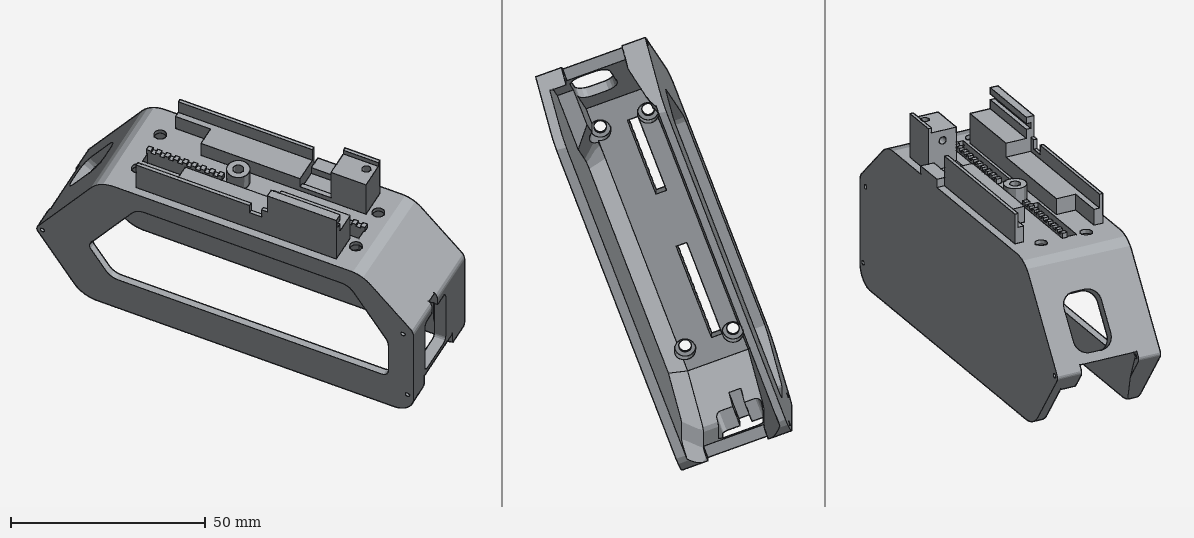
import cadquery as cq
import math


LENGTH = 107.5
WIDTH = 30.0
ROOF_Z = 45.2
NOSE_Z = 19.1
NOSE_RADIUS = 1.6
CORNER_RADIUS = 8.0
TAIL_TOP_RADIUS = 3.2
TAIL_BOTTOM_RADIUS = 5.6
SLANT_ANGLE = math.radians(55)
SLANT = math.tan(SLANT_ANGLE)
NOSE_X = NOSE_RADIUS * (1 - 1 / math.sin(SLANT_ANGLE))
TAIL_CHAMFER = 14.7

CAVITY_FRONT_Y = -8.6
CAVITY_BACK_Y = 8.0
POCKET_FRONT_Y = -13.0
POCKET_BACK_Y = 12.4
CAVITY_TOP_Z = 40.8
POCKET_LEFT_X = 28.0
POCKET_RADIUS = 8.6
TAIL_WALL_X = 104.2
TAIL_WALL_BOTTOM_Z = 8.1
TAIL_SLANT_Z = 24.2
TAIL_INNER_KNEE = (TAIL_WALL_X, TAIL_SLANT_Z)
TAIL_INNER_TOP = (TAIL_WALL_X - (CAVITY_TOP_Z - TAIL_SLANT_Z) / SLANT, CAVITY_TOP_Z)
TAIL_INNER_RADIUS = 9.1
NOSE_WALL = 2.7
NOSE_WALL_BOTTOM_Z = 21.0
NOSE_BOSS_X = 3.3
NOSE_POCKET_TOP_Z = 27.5
FRONT_RIB_TOP_X = 1.8
FRONT_RIB_SLOPE = math.tan(math.radians(69))
POCKET_TAPER = 45
MARGIN = 21.5
PICK_SIZE = 0.1

PIN_DIAMETER = 1.2
NOSE_PIN = (1.6, 19.2)
UPPER_TAIL_PIN = (104.4, 28.6)
LOWER_TAIL_PIN = (105.7, 6.3)
LOWER_TAIL_BOSS = (106.3, 6.5)
BOSS_TOP_RADIUS = LOWER_TAIL_BOSS[0] - TAIL_WALL_X

WINDOW_NOSE = (14.6, 19.8)
WINDOW_BOTTOM_Z = 10.6
WINDOW_TOP_Z = 39.5
WINDOW_RIGHT_X = 100.3
WINDOW_SLANT_Z = 23.5
WINDOW_RADIUS = 4.3
WINDOW_SMALL_RADIUS = 2.0
NOSE_OPENING_FRONT_Y = -2.9
NOSE_OPENING_WIDTH = CAVITY_BACK_Y - NOSE_OPENING_FRONT_Y
NOSE_OPENING_LENGTH = 16.2
NOSE_OPENING_Z = 29.7
NOSE_OPENING_RADIUS = 3.8
TAIL_OPENING_Y = (-8.3, 3.9)
TAIL_OPENING_Z = (9.5, 27.4)
TAIL_OPENING_RADIUS = 1.5
TAIL_NOTCH_Y = (-4.1, -0.9)
TAIL_NOTCH_TOP_Z = 31.4
TAIL_CUT_START_X = 96.7

SCREW_DIAMETER = 3.2
COUNTERBORE_DIAMETER = 5.5
COUNTERBORE_TOP_Z = 44.1
SCREW_X = (24.7, 86.9)
SCREW_Y = 6.6
SLOTS_X = ((24.7, 45.7), (60.5, 86.4))
SLOT_Y = (-3.8, -0.9)
COMB_Y = (-0.9, 0.5)
COMB_BASE_HEIGHT = 0.6
TOOTH_HEIGHT = 1.4
COMBS = ((24.4, 46.0, 9), (60.1, 86.7, 11))
POST_CENTER = (49.9, 0.6)
POST_DIAMETER = 6.0
POST_HOLE_DIAMETER = 2.8
POST_TOP_Z = 49.9

RAIL_START_X = 27.3
SHELF_START_X = 37.3
RAIL_END_X = 84.3
SHELF_Z = 49.7
RAIL_Z = 53.7
LEDGE_Y = 10.2
RAIL_OUTER_Y = 12.8
RAIL_INNER_Y = 11.8
SHELF_INNER_Y = 4.6
CHANNEL_X = (65.5, 74.4)
CHANNEL_Z = 47.6
TROUGH_Y = (5.9, 11.2)
TROUGH_Z = 45.5
CHANNEL_LIP_Z = 46.7
BLOCK_Z = 56.3
BLOCK_LIP_Z = 57.7
BLOCK_TOP_HOLE = (82.0, 9.7)
BLOCK_TOP_HOLE_DIAMETER = 2.3
BLOCK_SIDE_HOLE = (8.6, 53.4)
BLOCK_SIDE_HOLE_DIAMETER = 2.0
BLOCK_HOLE_DEPTH = 4.3
TALL_WALL_X = 64.7
TALL_WALL_INNER_Y = 10.5
TALL_WALL_Z = 59.7
GROOVE_Z = (56.3, 57.9)
GROOVE_DEPTH = 1.3
NOTCH_X = (59.6, 63.1)
NOTCH_Z = 51.0


def box(x_range, y_range, z_range):
    """Box between the given limits."""
    size = [high - low for low, high in (x_range, y_range, z_range)]
    corner = (x_range[0], y_range[0], z_range[0])
    return cq.Workplane("XY").box(*size, centered=False).translate(corner)


def prism(points, y_start, y_end):
    """Outline in the XZ plane, extruded from y_start to y_end."""
    plane = cq.Workplane("XZ", origin=(0, y_start, 0))
    return plane.polyline(points).close().extrude(y_start - y_end)


def round_corners(solid, radii):
    """Fillet the Y-parallel edges through the given (x, z) points: {point: radius}."""
    for (x, z), radius in radii.items():
        low = (x - PICK_SIZE, -WIDTH, z - PICK_SIZE)
        high = (x + PICK_SIZE, WIDTH, z + PICK_SIZE)
        edge = cq.selectors.BoxSelector(low, high)
        solid = solid.edges("|Y").edges(edge).fillet(radius)
    return solid


def slant_x(z, offset=0.0):
    """X of the upper nose slant at height z, moved inwards by offset."""
    return NOSE_X + (z - NOSE_Z) / SLANT + offset / math.sin(SLANT_ANGLE)


def shell_block():
    """Solid outline of the whole housing."""
    nose = (NOSE_X, NOSE_Z)
    top_left = (slant_x(ROOF_Z), ROOF_Z)
    top_right = (LENGTH - TAIL_CHAMFER, ROOF_Z)
    tail_top = (LENGTH, ROOF_Z - TAIL_CHAMFER)
    tail_bottom = (LENGTH, 0)
    bottom_left = (NOSE_X + NOSE_Z / SLANT, 0)
    outline = [nose, top_left, top_right, tail_top, tail_bottom, bottom_left]
    radii = {
        nose: NOSE_RADIUS,
        top_left: CORNER_RADIUS,
        top_right: CORNER_RADIUS,
        tail_top: TAIL_TOP_RADIUS,
        tail_bottom: TAIL_BOTTOM_RADIUS,
        bottom_left: CORNER_RADIUS,
    }
    return round_corners(prism(outline, -WIDTH / 2, WIDTH / 2), radii)


def cavity():
    """Central space between the side plates, open below and under the tail and nose walls."""
    outline = [
        (-MARGIN, -MARGIN),
        (-MARGIN, NOSE_WALL_BOTTOM_Z),
        (slant_x(NOSE_WALL_BOTTOM_Z, NOSE_WALL), NOSE_WALL_BOTTOM_Z),
        (slant_x(CAVITY_TOP_Z, NOSE_WALL), CAVITY_TOP_Z),
        TAIL_INNER_TOP,
        TAIL_INNER_KNEE,
        (TAIL_WALL_X, TAIL_WALL_BOTTOM_Z),
        (LENGTH + MARGIN, TAIL_WALL_BOTTOM_Z),
        (LENGTH + MARGIN, -MARGIN),
    ]
    space = prism(outline, CAVITY_FRONT_Y, CAVITY_BACK_Y)
    return round_corners(space, {TAIL_INNER_KNEE: TAIL_INNER_RADIUS})


def tapered_pocket(left_points, y_start, y_end):
    """Pocket with 45 degree walls that narrows from y_start to y_end, clear of the lower tail boss."""
    top_left = (POCKET_LEFT_X, CAVITY_TOP_Z)
    tail_bottom = (TAIL_WALL_X, -MARGIN)
    outline = left_points + [top_left, TAIL_INNER_TOP, TAIL_INNER_KNEE, tail_bottom]
    depth = abs(y_end - y_start)
    direction = math.copysign(1, y_end - y_start)
    radii = {top_left: POCKET_RADIUS, TAIL_INNER_KNEE: TAIL_INNER_RADIUS}
    profile = round_corners(prism(outline, y_start, y_end), radii)
    face = profile.faces("<Y" if direction > 0 else ">Y").wires().val()
    plane = cq.Plane(origin=(0, y_start, 0), xDir=(1, 0, 0), normal=(0, direction, 0))
    pocket = cq.Workplane(plane).add(face).toPending().extrude(depth, taper=POCKET_TAPER)

    boss_x, boss_z = LOWER_TAIL_BOSS
    base_radius = BOSS_TOP_RADIUS + depth
    low, high = sorted((y_start, y_end))
    runout = box((boss_x - base_radius, LENGTH + MARGIN), (low, high), (-MARGIN, boss_z))
    top_center = cq.Vector(boss_x, y_start, boss_z)
    axis = cq.Vector(0, direction, 0)
    cone = cq.Solid.makeCone(BOSS_TOP_RADIUS, base_radius, depth, top_center, axis)
    return pocket.union(runout.cut(cq.Workplane(cone)))


def back_pocket():
    """Tapered pocket in the back plate with a straight extension behind the nose wall."""
    slant_bottom_x = POCKET_LEFT_X - (CAVITY_TOP_Z + MARGIN) / SLANT
    main = tapered_pocket([(slant_bottom_x, -MARGIN)], CAVITY_BACK_Y, POCKET_BACK_Y)
    above_floor = box((-MARGIN, LENGTH), (0, WIDTH), (NOSE_POCKET_TOP_Z, ROOF_Z))
    tail_part = box((POCKET_LEFT_X, LENGTH + MARGIN), (0, WIDTH), (-MARGIN, ROOF_Z))
    main = main.intersect(above_floor.union(tail_part))
    boss_z = NOSE_Z + (NOSE_BOSS_X - slant_x(NOSE_Z, NOSE_WALL)) * SLANT
    extension = [
        (NOSE_BOSS_X, -MARGIN),
        (NOSE_BOSS_X, boss_z),
        (slant_x(NOSE_POCKET_TOP_Z, NOSE_WALL), NOSE_POCKET_TOP_Z),
        (POCKET_LEFT_X, NOSE_POCKET_TOP_Z),
        (POCKET_LEFT_X, -MARGIN),
    ]
    return main.union(prism(extension, CAVITY_BACK_Y, POCKET_BACK_Y))


def front_pocket():
    """Tapered pocket in the front plate, bounded by a steep rib at the nose."""
    rib_bottom_x = FRONT_RIB_TOP_X + (NOSE_Z + MARGIN) / FRONT_RIB_SLOPE
    left_points = [(rib_bottom_x, -MARGIN), (FRONT_RIB_TOP_X, NOSE_Z)]
    return tapered_pocket(left_points, CAVITY_FRONT_Y, POCKET_FRONT_Y)


def window():
    """Large opening through the front plate."""
    nose_x, nose_z = WINDOW_NOSE
    top_left = (nose_x + (WINDOW_TOP_Z - nose_z) / SLANT, WINDOW_TOP_Z)
    top_right = (WINDOW_RIGHT_X - (WINDOW_TOP_Z - WINDOW_SLANT_Z) / SLANT, WINDOW_TOP_Z)
    knee = (WINDOW_RIGHT_X, WINDOW_SLANT_Z)
    bottom_right = (WINDOW_RIGHT_X, WINDOW_BOTTOM_Z)
    bottom_left = (nose_x + (nose_z - WINDOW_BOTTOM_Z) / SLANT, WINDOW_BOTTOM_Z)
    outline = [WINDOW_NOSE, top_left, top_right, knee, bottom_right, bottom_left]
    radii = {
        WINDOW_NOSE: WINDOW_SMALL_RADIUS,
        top_left: WINDOW_RADIUS,
        top_right: WINDOW_RADIUS,
        knee: WINDOW_RADIUS,
        bottom_right: WINDOW_SMALL_RADIUS,
        bottom_left: WINDOW_RADIUS,
    }
    return round_corners(prism(outline, -WIDTH, CAVITY_FRONT_Y), radii)


def nose_opening():
    """Rounded opening square to the upper nose slant."""
    center = (slant_x(NOSE_OPENING_Z), CAVITY_BACK_Y - NOSE_OPENING_WIDTH / 2, NOSE_OPENING_Z)
    outward = (-math.sin(SLANT_ANGLE), 0, math.cos(SLANT_ANGLE))
    plane = cq.Plane(origin=center, xDir=(0, 1, 0), normal=outward)
    cutter = cq.Workplane(plane).rect(NOSE_OPENING_WIDTH, NOSE_OPENING_LENGTH)
    cutter = cutter.extrude(2 * NOSE_WALL, both=True)
    corners = cq.selectors.ParallelDirSelector(cq.Vector(*outward))
    return cutter.edges(corners).fillet(NOSE_OPENING_RADIUS)


def tail_opening():
    """Rounded opening in the tail wall with a narrow notch above it."""
    through = (TAIL_CUT_START_X, LENGTH + MARGIN)
    opening = box(through, TAIL_OPENING_Y, TAIL_OPENING_Z).edges("|X").fillet(TAIL_OPENING_RADIUS)
    notch_z = (sum(TAIL_OPENING_Z) / 2, TAIL_NOTCH_TOP_Z)
    notch = box(through, TAIL_NOTCH_Y, notch_z)
    return opening.union(notch)


def pin_holes():
    """Small holes through both side plates."""
    plane = cq.Workplane("XZ", origin=(0, WIDTH, 0))
    pins = plane.pushPoints([NOSE_PIN, UPPER_TAIL_PIN, LOWER_TAIL_PIN])
    return pins.circle(PIN_DIAMETER / 2).extrude(2 * WIDTH)


def roof_cuts():
    """Four screw holes, counterbored from below, and two long slots through the roof."""
    roof_zone = (CAVITY_TOP_Z - 1.1, ROOF_Z + 1.1)
    centers = [(x, y) for x in SCREW_X for y in (-SCREW_Y, SCREW_Y)]
    holes = cq.Workplane("XY").pushPoints(centers)
    cuts = holes.circle(SCREW_DIAMETER / 2).extrude(ROOF_Z + MARGIN)
    cuts = cuts.union(holes.circle(COUNTERBORE_DIAMETER / 2).extrude(COUNTERBORE_TOP_Z))
    for slot_x in SLOTS_X:
        cuts = cuts.union(box(slot_x, SLOT_Y, roof_zone))
    return cuts


def comb(start_x, end_x, teeth):
    """Low strip on the roof with evenly spaced teeth, as wide as the gaps between them."""
    tooth_width = (end_x - start_x) / (2 * teeth - 1)
    strip = box((start_x, end_x), COMB_Y, (ROOF_Z, ROOF_Z + COMB_BASE_HEIGHT))
    for index in range(teeth):
        tooth_x = start_x + 2 * index * tooth_width
        tooth = box((tooth_x, tooth_x + tooth_width), COMB_Y, (ROOF_Z, ROOF_Z + TOOTH_HEIGHT))
        strip = strip.union(tooth)
    return strip


def post():
    """Round post with a blind hole down to the roof."""
    plane = cq.Workplane("XY", origin=(*POST_CENTER, ROOF_Z))
    ring = plane.circle(POST_DIAMETER / 2).circle(POST_HOLE_DIAMETER / 2)
    return ring.extrude(POST_TOP_Z - ROOF_Z)


def back_rail():
    """Rail along the back with a cross channel and a drilled end block."""
    channel_start, channel_end = CHANNEL_X
    rail = box((RAIL_START_X, channel_start), (LEDGE_Y, RAIL_OUTER_Y), (ROOF_Z, SHELF_Z))
    shelf = box((SHELF_START_X, channel_start), (SHELF_INNER_Y, LEDGE_Y), (ROOF_Z, SHELF_Z))
    wall = box((RAIL_START_X, channel_start), (RAIL_INNER_Y, RAIL_OUTER_Y), (ROOF_Z, RAIL_Z))
    channel = box(CHANNEL_X, (SHELF_INNER_Y, WIDTH / 2), (ROOF_Z, CHANNEL_Z))
    channel = channel.cut(box(CHANNEL_X, TROUGH_Y, (TROUGH_Z, CHANNEL_Z)))
    channel = channel.cut(box(CHANNEL_X, (SHELF_INNER_Y, TROUGH_Y[0]), (CHANNEL_LIP_Z, CHANNEL_Z)))
    block = box((channel_end, RAIL_END_X), (SHELF_INNER_Y, RAIL_INNER_Y), (ROOF_Z, BLOCK_Z))
    lip = box((channel_end, RAIL_END_X), (RAIL_INNER_Y, RAIL_OUTER_Y), (ROOF_Z, BLOCK_LIP_Z))
    block = block.union(lip)

    top_plane = cq.Workplane("XY", origin=(*BLOCK_TOP_HOLE, BLOCK_Z))
    block = block.cut(top_plane.circle(BLOCK_TOP_HOLE_DIAMETER / 2).extrude(-BLOCK_HOLE_DEPTH))
    side_plane = cq.Workplane("YZ", origin=(channel_end, *BLOCK_SIDE_HOLE))
    block = block.cut(side_plane.circle(BLOCK_SIDE_HOLE_DIAMETER / 2).extrude(BLOCK_HOLE_DEPTH))
    return rail.union(shelf).union(wall).union(channel).union(block)


def front_rail():
    """Rail along the front with a notched low wall and a grooved tall wall."""
    low_x = (RAIL_START_X, TALL_WALL_X)
    tall_x = (TALL_WALL_X, RAIL_END_X)
    rail = box(low_x, (-RAIL_OUTER_Y, -LEDGE_Y), (ROOF_Z, SHELF_Z))
    shelf = box((SHELF_START_X, TALL_WALL_X), (-LEDGE_Y, -SHELF_INNER_Y), (ROOF_Z, SHELF_Z))
    low_wall = box(low_x, (-RAIL_OUTER_Y, -RAIL_INNER_Y), (ROOF_Z, RAIL_Z))
    low_wall = low_wall.cut(box(NOTCH_X, (-RAIL_OUTER_Y, -RAIL_INNER_Y), (NOTCH_Z, RAIL_Z)))
    block = box(tall_x, (-RAIL_OUTER_Y, -SHELF_INNER_Y), (ROOF_Z, RAIL_Z))
    tall_wall = box(tall_x, (-RAIL_OUTER_Y, -TALL_WALL_INNER_Y), (ROOF_Z, TALL_WALL_Z))
    groove = box(tall_x, (-TALL_WALL_INNER_Y - GROOVE_DEPTH, -TALL_WALL_INNER_Y), GROOVE_Z)
    tall_wall = tall_wall.cut(groove)
    return rail.union(shelf).union(low_wall).union(block).union(tall_wall)


shell = shell_block()
for cutter in (
    cavity(),
    back_pocket(),
    front_pocket(),
    window(),
    nose_opening(),
    tail_opening(),
    pin_holes(),
    roof_cuts(),
):
    shell = shell.cut(cutter)

result = shell.union(back_rail()).union(front_rail()).union(post())
for comb_limits in COMBS:
    result = result.union(comb(*comb_limits))